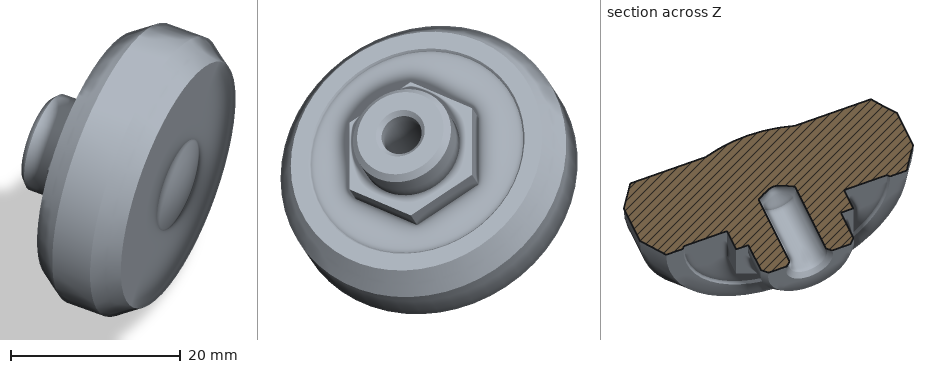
import cadquery as cq
import math

wheel_diameter = 35.0
wheel_width = 11.0
side_face_diameter = 30.8
bevel_width = 3.0

recess_mouth_diameter = 26.45
recess_floor_diameter = 25.97
recess_depth = 0.3

eccentric_offset = 0.8
hex_across_flats = 15.0
hex_thickness = 2.5
boss_diameter = 12.0
boss_length = 4.5
boss_chamfer = 0.7

hole_diameter = 4.9
hole_mouth_diameter = 6.0
hole_depth = 10.0
drill_point_angle = 118.0

dome_base_diameter = 11.4
dome_height = 0.88

boss_end_x = -(hex_thickness + boss_length)


def turned(profile):
    """Revolve a profile of (x, radius) around the X axis."""
    return profile.close().revolve(360, (0, 0, 0), (1, 0, 0))


def make_wheel():
    wheel_radius = wheel_diameter / 2
    side_radius = side_face_diameter / 2
    profile = cq.Workplane("XY").polyline([
        (0, 0),
        (0, side_radius),
        (bevel_width, wheel_radius),
        (wheel_width - bevel_width, wheel_radius),
        (wheel_width, side_radius),
        (wheel_width, 0),
    ])
    return turned(profile)


def make_recess():
    profile = cq.Workplane("XY").polyline([
        (0, 0),
        (0, recess_mouth_diameter / 2),
        (recess_depth, recess_floor_diameter / 2),
        (recess_depth, 0),
    ])
    return turned(profile)


def make_dome():
    base_radius = dome_base_diameter / 2
    sphere_radius = (base_radius**2 + dome_height**2) / (2 * dome_height)
    center_x = wheel_width + dome_height - sphere_radius
    half_angle = math.asin(base_radius / sphere_radius) / 2
    arc_middle = (
        center_x + sphere_radius * math.cos(half_angle),
        sphere_radius * math.sin(half_angle),
    )
    profile = (
        cq.Workplane("XY")
        .moveTo(wheel_width, 0)
        .lineTo(wheel_width, base_radius)
        .threePointArc(arc_middle, (wheel_width + dome_height, 0))
    )
    return turned(profile)


def make_hexagon():
    across_corners = hex_across_flats / math.cos(math.pi / 6)
    return (
        cq.Workplane("YZ", origin=(recess_depth, 0, 0))
        .polygon(6, across_corners)
        .extrude(-(hex_thickness + recess_depth))
        .rotate((0, 0, 0), (1, 0, 0), 90)
    )


def make_boss():
    return (
        cq.Workplane("YZ", origin=(-hex_thickness, 0, 0))
        .circle(boss_diameter / 2)
        .extrude(-boss_length)
        .faces("<X")
        .chamfer(boss_chamfer)
    )


def make_hole():
    hole_radius = hole_diameter / 2
    mouth_radius = hole_mouth_diameter / 2
    mouth_chamfer = mouth_radius - hole_radius
    bottom_x = boss_end_x + hole_depth
    tip_length = hole_radius / math.tan(math.radians(drill_point_angle / 2))
    profile = cq.Workplane("XY").polyline([
        (boss_end_x, 0),
        (boss_end_x, mouth_radius),
        (boss_end_x + mouth_chamfer, hole_radius),
        (bottom_x, hole_radius),
        (bottom_x + tip_length, 0),
    ])
    return turned(profile)


eccentric_shift = (0, 0, -eccentric_offset)
result = (
    make_wheel()
    .cut(make_recess())
    .union(make_dome())
    .union(make_hexagon().translate(eccentric_shift))
    .union(make_boss().translate(eccentric_shift))
    .cut(make_hole().translate(eccentric_shift))
)